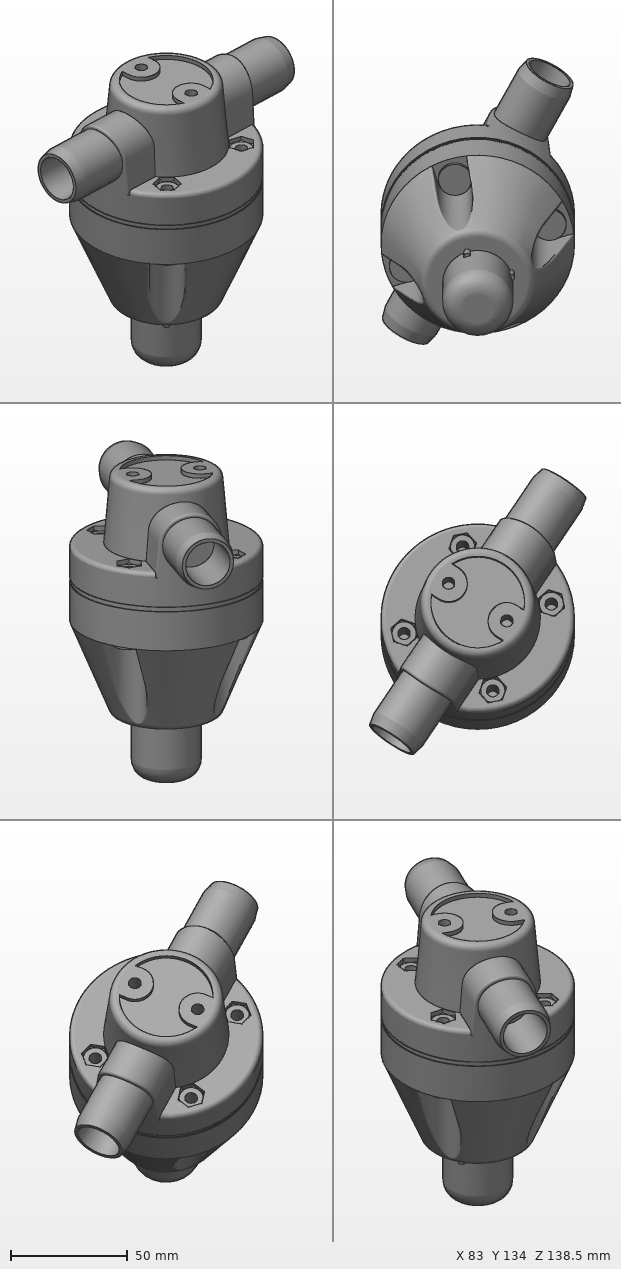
import cadquery as cq
import math

TOTAL_HEIGHT = 138.5
LID_TOP = 106.2
LID_BOTTOM = 90.9
BODY_TOP = 88.8
CONE_TOP = 71.2
CONE_BOTTOM = 29.0

BODY_RADIUS = 83.0 / 2
GROOVE_RADIUS = 41.0
LID_EDGE_FILLET = 2.1
CONE_BOTTOM_RADIUS = 23.7
CONE_EDGE_FILLET = 3.6

DRAFT = math.tan(math.radians(5))
DOME_BASE_RADIUS = 26.9
DOME_EDGE_FILLET = 3.0
RECESS_RADIUS = 20.1
RECESS_DEPTH = 2.0
PAD_SPACING = 29.9
PAD_RADIUS = 8.0
PAD_HOLE_RADIUS = 2.6
PAD_HOLE_DEPTH = 9.7

PORT_LENGTH = 134.0
PORT_RADIUS = 25.0 / 2
PORT_HEIGHT = 118.5
PORT_BORE_RADIUS = 9.8
PORT_TIP_RADIUS = 11.4
PORT_TAPER_LENGTH = 5.0
SADDLE_RADIUS = 14.0
SADDLE_EDGE_FILLET = 1.0

SCREW_SPACING = 45.5
SCREW_HOLE_RADIUS = 2.6
HEX_CIRCUMRADIUS = 6.0
HEX_DEPTH = 2.2
CHANNEL_RADIUS = 7.6
CHANNEL_EDGE_FILLET = 0.8
WASHER_RADIUS = 7.2
WASHER_THICKNESS = 1.7

STEM_RADIUS = 30.0 / 2
STEM_TIP_FILLET = 8.0
PIN_RADIUS = 1.5
PIN_OFFSET = 10.5
PIN_BOTTOM = 24.0


def cylinder(radius, bottom, top, x=0.0, y=0.0):
    """Upright cylinder between two heights."""
    return cq.Workplane("XY", origin=(x, y, bottom)).circle(radius).extrude(top - bottom)


def frustum(bottom_radius, top_radius, bottom, top):
    """Upright cone frustum on the Z axis."""
    outline = [(0, bottom), (bottom_radius, bottom), (top_radius, top), (0, top)]
    return cq.Workplane("XZ").polyline(outline).close().revolve(360, (0, 0), (0, 1))


def screw_positions():
    half = SCREW_SPACING / 2
    return [(sx * half, sy * half) for sx in (-1, 1) for sy in (-1, 1)]


def channel(x, y):
    """Vertical U-shaped cutter, open radially outwards."""
    height = CONE_TOP - CONE_BOTTOM
    outward = math.degrees(math.atan2(y, x))
    round_end = cq.Workplane("XY").circle(CHANNEL_RADIUS).extrude(height)
    mouth = cq.Workplane("XY").rect(BODY_RADIUS, 2 * CHANNEL_RADIUS).extrude(height)
    slot = round_end.union(mouth.translate((BODY_RADIUS / 2, 0, 0)))
    return slot.rotate((0, 0, 0), (0, 0, 1), outward).translate((x, y, CONE_BOTTOM))


def make_cone():
    """Tapered lower body with rounded screw channels and a washer at the top of each."""
    cone = frustum(CONE_BOTTOM_RADIUS, BODY_RADIUS, CONE_BOTTOM, CONE_TOP)
    cone = cone.faces("<Z").edges().fillet(CONE_EDGE_FILLET)
    for x, y in screw_positions():
        cone = cone.cut(channel(x, y))
    cone = cone.edges("(not #Z) and (not |Z)").edges("not %CIRCLE").fillet(CHANNEL_EDGE_FILLET)
    for x, y in screw_positions():
        cone = cone.union(cylinder(WASHER_RADIUS, CONE_TOP - WASHER_THICKNESS, CONE_TOP, x, y))
    return cone


def make_lid():
    """Flange and saddle arch in one round block, with a rounded rim on the shoulders beside the arch.

    The sides of the arch are drafted and run tangent into its round crown.
    """
    draft_angle = math.atan(DRAFT)
    tangent_x = SADDLE_RADIUS * math.cos(draft_angle)
    tangent_z = PORT_HEIGHT + SADDLE_RADIUS * math.sin(draft_angle)
    shoulder = LID_TOP - LID_EDGE_FILLET
    foot_x = tangent_x + DRAFT * (tangent_z - shoulder)
    profile = (
        cq.Workplane("XZ")
        .moveTo(-2 * BODY_RADIUS, LID_BOTTOM)
        .lineTo(-2 * BODY_RADIUS, shoulder)
        .lineTo(-foot_x, shoulder)
        .lineTo(-tangent_x, tangent_z)
        .threePointArc((0, PORT_HEIGHT + SADDLE_RADIUS), (tangent_x, tangent_z))
        .lineTo(foot_x, shoulder)
        .lineTo(2 * BODY_RADIUS, shoulder)
        .lineTo(2 * BODY_RADIUS, LID_BOTTOM)
        .close()
        .extrude(2 * BODY_RADIUS, both=True)
    )
    block = cylinder(BODY_RADIUS, LID_BOTTOM, TOTAL_HEIGHT).intersect(profile)
    middle_y = BODY_RADIUS / 2
    near_end = cq.selectors.BoxSelector((-foot_x, -BODY_RADIUS, LID_TOP), (foot_x, -middle_y, TOTAL_HEIGHT))
    far_end = cq.selectors.BoxSelector((-foot_x, middle_y, LID_TOP), (foot_x, BODY_RADIUS, TOTAL_HEIGHT))
    block = block.edges(near_end + far_end).fillet(SADDLE_EDGE_FILLET)
    rim = cylinder(BODY_RADIUS, LID_BOTTOM, LID_TOP).faces(">Z").edges().fillet(LID_EDGE_FILLET)
    rim = rim.cut(profile)
    return block.union(rim)


def make_dome():
    """Drafted cap above the flange."""
    top_radius = DOME_BASE_RADIUS - DRAFT * (TOTAL_HEIGHT - LID_TOP)
    dome = frustum(DOME_BASE_RADIUS, top_radius, LID_TOP, TOTAL_HEIGHT)
    return dome.faces(">Z").edges().fillet(DOME_EDGE_FILLET)


def make_spigots():
    """One tube across the part, tapered at both tips."""
    half = PORT_LENGTH / 2
    taper_start = half - PORT_TAPER_LENGTH
    outline = [
        (0, -half),
        (PORT_TIP_RADIUS, -half),
        (PORT_RADIUS, -taper_start),
        (PORT_RADIUS, taper_start),
        (PORT_TIP_RADIUS, half),
        (0, half),
    ]
    tube = cq.Workplane("XY").polyline(outline).close().revolve(360, (0, 0), (0, 1))
    return tube.translate((0, 0, PORT_HEIGHT))


def make_bores():
    """Blind bores running in from each spigot tip to the flange radius."""
    depth = PORT_LENGTH / 2 - BODY_RADIUS
    start = cq.Workplane("XZ", origin=(0, -BODY_RADIUS, PORT_HEIGHT))
    bore = start.circle(PORT_BORE_RADIUS).extrude(depth)
    return bore.union(bore.mirror("XZ"))


def make_dome_recess():
    """Shallow round recess in the dome top that leaves two drilled pads standing."""
    floor = TOTAL_HEIGHT - RECESS_DEPTH
    recess = cylinder(RECESS_RADIUS, floor, TOTAL_HEIGHT)
    for side in (-1, 1):
        x = side * PAD_SPACING / 2
        pad = cylinder(PAD_RADIUS, floor, TOTAL_HEIGHT, x)
        shank = cq.Workplane("XY", origin=(x + side * PAD_RADIUS / 2, 0, floor))
        shank = shank.rect(PAD_RADIUS, 2 * PAD_RADIUS).extrude(RECESS_DEPTH)
        recess = recess.cut(pad).cut(shank)
        hole = cylinder(PAD_HOLE_RADIUS, TOTAL_HEIGHT - PAD_HOLE_DEPTH, TOTAL_HEIGHT, x)
        recess = recess.union(hole)
    return recess


def hex_seat(x, y):
    """Hexagonal seat with a round floor, flats square to the radius, and its screw hole."""
    flat_radius = HEX_CIRCUMRADIUS * math.cos(math.radians(30))
    corner_rise = (HEX_CIRCUMRADIUS - flat_radius) * math.tan(math.radians(30))
    floor = LID_TOP - HEX_DEPTH
    base = cq.Workplane("XY", origin=(0, 0, floor))
    hexagon = base.polygon(6, 2 * HEX_CIRCUMRADIUS).extrude(HEX_DEPTH)
    envelope = frustum(flat_radius, HEX_CIRCUMRADIUS, floor, floor + corner_rise)
    envelope = envelope.union(cylinder(HEX_CIRCUMRADIUS, floor + corner_rise, LID_TOP))
    flats_outward = math.degrees(math.atan2(y, x)) + 30
    seat = hexagon.intersect(envelope).rotate((0, 0, 0), (0, 0, 1), flats_outward)
    seat = seat.translate((x, y, 0))
    return seat.union(cylinder(SCREW_HOLE_RADIUS, LID_BOTTOM, floor, x, y))


def make_stem():
    """Outlet stem with a rounded tip and two pins half sunk in its -Y side."""
    stem = cylinder(STEM_RADIUS, 0, CONE_BOTTOM).faces("<Z").edges().fillet(STEM_TIP_FILLET)
    for x in (-PIN_OFFSET, PIN_OFFSET):
        stem = stem.union(cylinder(PIN_RADIUS, PIN_BOTTOM, CONE_BOTTOM, x, -PIN_OFFSET))
    return stem


result = (
    make_stem()
    .union(make_cone())
    .union(cylinder(BODY_RADIUS, CONE_TOP, BODY_TOP))
    .union(cylinder(GROOVE_RADIUS, BODY_TOP, LID_BOTTOM))
    .union(make_lid())
    .union(make_dome())
    .union(make_spigots())
    .cut(make_bores())
    .cut(make_dome_recess())
)
for screw_x, screw_y in screw_positions():
    result = result.cut(hex_seat(screw_x, screw_y))